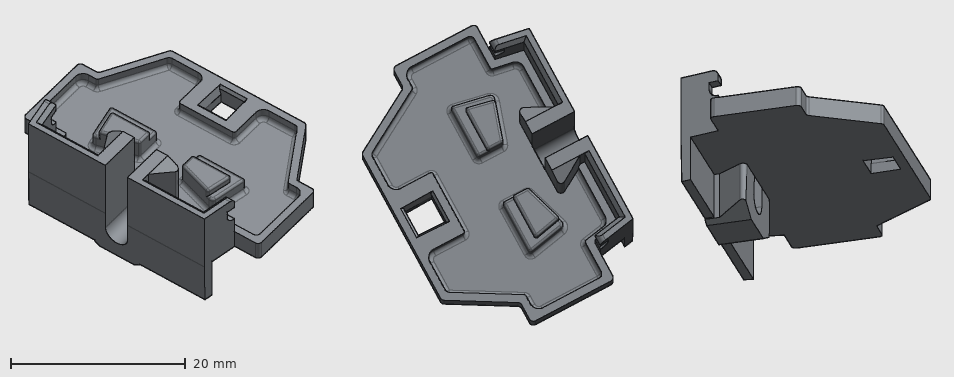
import cadquery as cq
import math


plate_half_width = 16.88
plate_back = 23.32
plate_thickness = 2.43
wing_front = 4.7
wing_back = 15.5
back_half_width = 9.7
back_slope = math.radians(30)
outer_corner = 0.5

rim = 0.95
floor_z = 0.9
floor_fillet = 0.55
tight_corner = 0.57
wide_corner = 1.05
convex_corner = 0.27

post_half_width = 4.0
post_front = 17.2
hole_front = 18.53
hole_back = 22.07
hole_front_half = 1.65
hole_back_half = 1.55
flare_width = 0.37
flare_depth = 1.15
hole_chamfer = 0.35

front_half_width = 12.6
side_slope = math.radians(10)
wall_top = 7.93
wall_thickness = 1.25
wall_chamfer = 0.55
wall_end_round = 0.75
skirt_thickness = 1.2
skirt_bottom = -5.5
skirt_draft = math.radians(1)

notch_depth = 1.15
notch_bottom = 4.6
notch_top = 6.48
notch_round = 1.08

boss_half_width = 3.2
boss_back = 5.55
boss_bottom = -6.08
boss_flat_half_width = 2.45
dovetail_half_width = 5.33
dovetail_round = 0.5
dovetail_slope = math.radians(30)
slot_half_width = 1.6
slot_bottom = -3.98

pad_inner = 3.0
pad_back = 11.8
pad_outer_back = 9.65
pad_outer_front = 8.65
pad_front_outer = 6.7
pad_front_inner = 8.5
pad_sharp_round = 0.5
pad_step_z = 2.87
pad_top_z = 3.78
pad_ledge_back = 1.28
pad_ledge_side = 0.8
pad_fillet = 0.3

overlap = 0.35


def side_x(y, inset=0.0):
    """X of the slanted right side of the front wall, moved inward by inset."""
    return front_half_width + y * math.tan(side_slope) - inset / math.cos(side_slope)


def back_x(y, inset=0.0):
    """X of the slanted right back edge of the plate, moved inward by inset."""
    return back_half_width + (plate_back - y) * math.tan(back_slope) - inset / math.cos(back_slope)


def mirrored(right_half):
    """Close a list of right-hand outline points with their mirror images about X = 0."""
    return right_half + [(-x, *rest) for x, *rest in reversed(right_half)]


def rounded_prism(corners, z_low, z_high):
    """Prism over a polygon whose (x, y, radius) corners are rounded where radius > 0."""
    sketch = cq.Workplane("XY", origin=(0, 0, z_low))
    points = [cq.Vector(x, y) for x, y, _ in corners]
    for i, (_, _, radius) in enumerate(corners):
        corner = points[i]
        before = (points[i - 1] - corner).normalized()
        after = (points[(i + 1) % len(points)] - corner).normalized()
        half_angle = before.getAngle(after) / 2
        tangent = radius / math.tan(half_angle)
        start = corner + before * tangent
        draw_to = sketch.moveTo if i == 0 else sketch.lineTo
        sketch = draw_to(start.x, start.y)
        if radius > 0:
            bisector = (before + after).normalized()
            middle = corner + bisector * (radius / math.sin(half_angle) - radius)
            end = corner + after * tangent
            sketch = sketch.threePointArc((middle.x, middle.y), (end.x, end.y))
    return sketch.close().extrude(z_high - z_low)


def flared_prism(low_outline, high_outline, z_low, z_high):
    """Straight-sided blend between two (x, y) outlines at different heights."""
    return (
        cq.Workplane("XY", origin=(0, 0, z_low))
        .polyline(low_outline).close()
        .workplane(offset=z_high - z_low)
        .polyline(high_outline).close()
        .loft(ruled=True)
    )


def box(x_low, x_high, y_low, y_high, z_low, z_high):
    """Box between the given limits."""
    size = (x_high - x_low, y_high - y_low, z_high - z_low)
    return cq.Workplane("XY").box(*size, centered=False).translate((x_low, y_low, z_low))


def side_profile(points, half_width):
    """Prism over a (y, z) polygon, reaching half_width to both sides of X = 0."""
    return cq.Workplane("YZ").polyline(points).close().extrude(half_width, both=True)


def front_trapezoid(y_back, inset, z_low, z_high):
    """Prism over the front wall's tapered plan, moved inward by inset."""
    corners = [(side_x(inset, inset), inset, 0), (side_x(y_back, inset), y_back, 0)]
    return rounded_prism(mirrored(corners), z_low, z_high)


def plate():
    corners = [
        (plate_half_width, wing_front, outer_corner),
        (plate_half_width, wing_back, outer_corner),
        (back_x(wing_back), wing_back, outer_corner),
        (back_half_width, plate_back, outer_corner),
    ]
    return rounded_prism(mirrored(corners), 0, plate_thickness)


def upper_wall():
    wall = front_trapezoid(wing_front, 0, plate_thickness, wall_top)
    inside_back = wing_front + overlap
    wall = wall.cut(front_trapezoid(inside_back, wall_thickness, plate_thickness, wall_top + overlap))

    narrow = wall_thickness - wall_chamfer
    low = [(side_x(y, wall_thickness), y) for y in (wall_thickness, inside_back)]
    high = [(side_x(y, narrow), y) for y in (narrow, inside_back)]
    wall = wall.cut(flared_prism(mirrored(low), mirrored(high), wall_top - wall_chamfer, wall_top))

    round_y = wing_front - wall_end_round
    round_z = wall_top - wall_end_round
    corner = box(-plate_half_width, plate_half_width, round_y, wing_front, round_z, wall_top)
    cylinder = (
        cq.Workplane("YZ").center(round_y, round_z).circle(wall_end_round)
        .extrude(plate_half_width, both=True)
    )
    wall = wall.cut(corner.cut(cylinder))

    notch = box(-plate_half_width, plate_half_width,
                wing_front - notch_depth, wing_front + overlap, notch_bottom, notch_top)
    return wall.cut(notch.edges("|X and <Y and <Z").fillet(notch_round))


def skirt():
    return front_trapezoid(skirt_thickness, 0, skirt_bottom, 0)


def boss():
    flank = (dovetail_half_width - boss_half_width) / math.tan(dovetail_slope)
    corners = [
        (boss_half_width, 0, 0),
        (boss_half_width, boss_back - flank, 0),
        (dovetail_half_width, boss_back, dovetail_round),
    ]
    body = rounded_prism(mirrored(corners), boss_bottom, wall_top)

    rise = math.tan(dovetail_slope)
    top_drop = (dovetail_half_width - boss_half_width) * rise
    bottom_drop = (dovetail_half_width - boss_flat_half_width) * rise
    right = [
        (boss_flat_half_width, boss_bottom),
        (dovetail_half_width, boss_bottom + bottom_drop),
        (dovetail_half_width, wall_top - top_drop),
        (boss_half_width, wall_top),
    ]
    return body.intersect(cq.Workplane("XZ").polyline(mirrored(right)).close().extrude(-boss_back))


def pocket():
    front_inset = wall_thickness + rim
    wing_edge = wing_front + rim
    shoulder = wing_back - rim
    back_edge = plate_back - rim
    corners = [
        (side_x(front_inset, front_inset), front_inset, wide_corner),
        (side_x(wing_edge, front_inset), wing_edge, convex_corner),
        (plate_half_width - rim, wing_edge, tight_corner),
        (plate_half_width - rim, shoulder, wide_corner),
        (back_x(shoulder, rim), shoulder, convex_corner),
        (back_x(back_edge, rim), back_edge, tight_corner),
        (post_half_width, back_edge, wide_corner),
        (post_half_width, post_front, convex_corner),
    ]
    cutter = rounded_prism(mirrored(corners), floor_z, plate_thickness)
    return cutter.faces("<Z").edges().fillet(floor_fillet)


def square_hole():
    front_mouth = hole_front - hole_chamfer
    back_mouth = hole_back + hole_chamfer
    core = [(hole_front_half, hole_front), (hole_back_half, hole_back)]
    low = [(hole_front_half, front_mouth), (hole_back_half, back_mouth)]
    high = [(x + flare_width, y) for x, y in low]

    shaft = cq.Workplane("XY").polyline(mirrored(core)).close().extrude(plate_thickness)
    flare = flared_prism(mirrored(low), mirrored(high), plate_thickness - flare_depth, plate_thickness)
    chamfered_ends = side_profile([
        (hole_front, 0),
        (hole_back, 0),
        (hole_back, plate_thickness - hole_chamfer),
        (back_mouth, plate_thickness),
        (front_mouth, plate_thickness),
        (hole_front, plate_thickness - hole_chamfer),
    ], post_half_width)
    return shaft.union(flare.intersect(chamfered_ends))


def pad():
    """Right-hand stepped pad: a low base with a smaller block flush with its front and inner sides."""
    base_corners = [
        (pad_inner, pad_front_inner, convex_corner),
        (pad_outer_front, pad_front_outer, pad_sharp_round),
        (pad_outer_back, pad_back, convex_corner),
        (pad_inner, pad_back, convex_corner),
    ]
    front_slope = (pad_front_inner - pad_front_outer) / (pad_outer_front - pad_inner)
    side_lean = (pad_outer_back - pad_outer_front) / (pad_back - pad_front_outer)
    block_back = pad_back - pad_ledge_back
    block_front_rise = pad_ledge_side * front_slope
    block_outer_front = pad_outer_front - pad_ledge_side
    block_outer_back = pad_outer_back - pad_ledge_side - pad_ledge_back * side_lean
    block_corners = [
        (pad_inner, pad_front_inner, convex_corner),
        (block_outer_front, pad_front_outer + block_front_rise, convex_corner),
        (block_outer_back, block_back, convex_corner),
        (pad_inner, block_back, convex_corner),
    ]
    base = rounded_prism(base_corners, floor_z, pad_step_z).faces(">Z").edges().fillet(pad_fillet)
    block = rounded_prism(block_corners, floor_z, pad_top_z).faces(">Z").edges().fillet(pad_fillet)
    return base.union(block)


def with_foot_fillets(body):
    """Blend the feet of both pads into the pocket floor."""
    low = (pad_inner - overlap, pad_front_outer - overlap, floor_z - overlap)
    high = (pad_outer_back + overlap, pad_back + overlap, floor_z + overlap)
    right = cq.selectors.BoxSelector(low, high)
    left = cq.selectors.BoxSelector((-low[0], *low[1:]), (-high[0], *high[1:]))
    return body.edges(right + left).fillet(floor_fillet)


def slot():
    straight = slot_bottom + slot_half_width
    channel = box(-slot_half_width, slot_half_width, 0, boss_back, straight, wall_top + overlap)
    bottom = cq.Workplane("XZ", origin=(0, 0, straight)).circle(slot_half_width).extrude(-boss_back)
    return channel.union(bottom)


def draft_wedges():
    """Wedges that lean the skirt's front and the boss's back inward below Z = 0."""
    lean = -boss_bottom * math.tan(skirt_draft)
    front = [(0, 0), (lean, boss_bottom), (0, boss_bottom)]
    back = [(boss_back - y, z) for y, z in front]
    return side_profile(front, plate_half_width).union(side_profile(back, plate_half_width))


def assembly():
    body = plate().union(front_trapezoid(wing_front, 0, 0, plate_thickness))
    body = body.cut(pocket()).cut(square_hole())
    right_pad = pad()
    body = with_foot_fillets(body.union(right_pad).union(right_pad.mirror("YZ")))
    body = body.union(upper_wall()).union(skirt()).union(boss()).cut(slot())
    return body.cut(draft_wedges())


result = assembly()